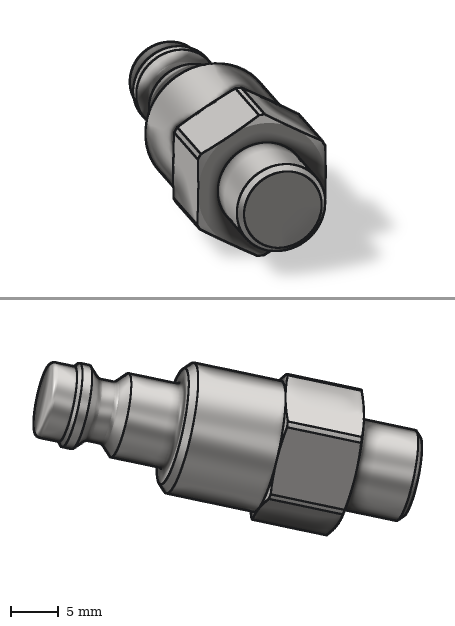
import cadquery as cq

total_length = 40.0
tip_end = 2.6
collar_end = 4.1
stem_start = 8.35
body_start = 14.1
hex_start = 24.4
hex_end = 32.9

tip_diameter = 8.1
stem_diameter = 9.0
neck_diameter = 6.65
body_diameter = 14.0
thread_diameter = 9.7
hex_across_flats = 14.0
hex_corner_diameter = 15.8

tip_round = 0.55
neck_round = 0.55
stem_round = 0.5
body_chamfer = 0.8
thread_chamfer = 0.6
hex_bevel_length = 0.25
search_margin = 0.05
hex_turn = -0.6

tip_radius = tip_diameter / 2
stem_radius = stem_diameter / 2
neck_radius = neck_diameter / 2
body_radius = body_diameter / 2
thread_radius = thread_diameter / 2
hex_corner_radius = hex_corner_diameter / 2

collar_start = tip_end + stem_radius - tip_radius
neck_depth = stem_radius - neck_radius
neck_start = collar_end + neck_depth
neck_end = stem_start - neck_depth


def revolve_profile(points):
    """Turn a closed (x, radius) outline about the X axis."""
    return cq.Workplane("XY").polyline(points).close().revolve(360, (0, 0, 0), (1, 0, 0))


def round_circle(solid, x, radius, round_radius):
    """Round the circular edge of the given radius that passes through station x."""
    low = (x - search_margin, -radius - search_margin, -radius - search_margin)
    high = (x + search_margin, radius + search_margin, radius + search_margin)
    circle = solid.edges(cq.selectors.BoxSelector(low, high, boundingbox=True))
    return circle.fillet(round_radius)


def make_plug():
    """Tip, retaining collar, neck, stem and chamfered body."""
    plug = revolve_profile([
        (0, 0),
        (0, tip_radius),
        (tip_end, tip_radius),
        (collar_start, stem_radius),
        (collar_end, stem_radius),
        (neck_start, neck_radius),
        (neck_end, neck_radius),
        (stem_start, stem_radius),
        (body_start, stem_radius),
        (body_start, body_radius - body_chamfer),
        (body_start + body_chamfer, body_radius),
        (hex_start, body_radius),
        (hex_start, 0),
    ])
    plug = round_circle(plug, 0, tip_radius, tip_round)
    plug = round_circle(plug, neck_start, neck_radius, neck_round)
    plug = round_circle(plug, neck_end, neck_radius, neck_round)
    return round_circle(plug, body_start, stem_radius, stem_round)


def make_hex():
    """Hexagon with flats facing +Y and -Y, its corners turned and its ends bevelled."""
    prism = (
        cq.Workplane("YZ", origin=(hex_start, 0, 0))
        .polygon(6, hex_across_flats, circumscribed=True)
        .extrude(hex_end - hex_start)
        .rotate((0, 0, 0), (1, 0, 0), hex_turn)
    )
    envelope = revolve_profile([
        (hex_start, 0),
        (hex_start, body_radius),
        (hex_start + hex_bevel_length, hex_corner_radius),
        (hex_end - hex_bevel_length, hex_corner_radius),
        (hex_end, body_radius),
        (hex_end, 0),
    ])
    return prism.intersect(envelope)


def make_threaded_end():
    """Plain cylinder with a chamfered outer end."""
    return (
        cq.Workplane("YZ", origin=(hex_end, 0, 0))
        .circle(thread_radius)
        .extrude(total_length - hex_end)
        .faces(">X")
        .chamfer(thread_chamfer)
    )


result = make_plug().union(make_hex()).union(make_threaded_end())